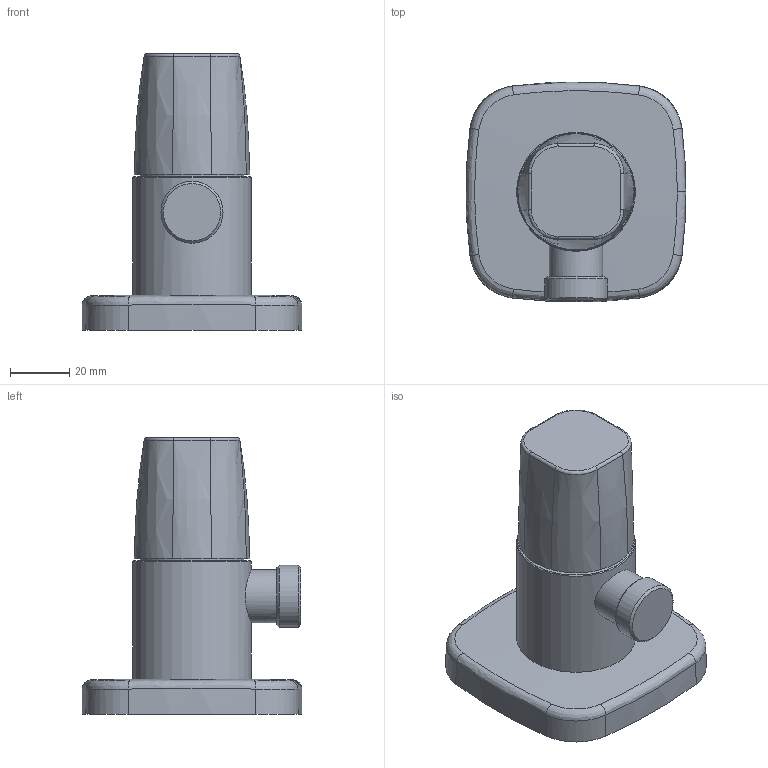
import cadquery as cq
import math

OVERLAP = 1.0

BASE_HALF_WIDTH = 37.31
BASE_CORNER_ALONG = 21.6
BASE_CORNER_OUT = 35.9
BASE_CORNER_RADIUS = 16.6
BASE_HEIGHT = 12.1
BASE_DOME_RISE = 0.5
BASE_EDGE_FILLET = 3.0
BASE_DRAFT = 1.0

BODY_RADIUS = 20.1
BODY_TOP = 52.0
BODY_EDGE_CHAMFER = 0.3

NECK_RADIUS = 17.5

HANDLE_BOTTOM = 52.7
HANDLE_TOP = 93.7
HANDLE_BOTTOM_RADIUS = 19.5
HANDLE_TOP_HALF_WIDTH = 16.1
HANDLE_TOP_FLAT_HALF = 6.1
HANDLE_BOTTOM_FLAT_HALF = 6.5
HANDLE_EDGE_FILLET = 1.0
HANDLE_SECTIONS = 5

OUTLET_HEIGHT = 40.0
OUTLET_PIPE_RADIUS = 9.0
COLLAR_RADIUS = 10.5
COLLAR_START = 28.7
COLLAR_END = 36.75
COLLAR_EDGE_CHAMFER = 0.8


def bowed_square(plane, half_width, along, out, corner_reach):
    """Closed outline of four bowed sides joined by four corner arcs.

    half_width: distance from the axis to the middle of a side
    along, out: coordinates of the points where sides and corners meet
    corner_reach: distance from the axis to the middle of a corner arc
    """
    corner = corner_reach * math.sqrt(0.5)
    outline = plane.moveTo(out, -along)
    for quarter in range(4):
        cos_q = round(math.cos(quarter * math.pi / 2))
        sin_q = round(math.sin(quarter * math.pi / 2))

        def turned(x, y):
            return (x * cos_q - y * sin_q, x * sin_q + y * cos_q)

        if math.isclose(half_width, out):
            outline = outline.lineTo(*turned(out, along))
        else:
            outline = outline.threePointArc(turned(half_width, 0), turned(out, along))
        outline = outline.threePointArc(turned(corner, corner), turned(along, out))
    return outline.close()


def base_section(height):
    """Outline of the base plate at a height, shrunk evenly by the draft of its sides."""
    shrink = 1 - height * math.tan(math.radians(BASE_DRAFT)) / BASE_HALF_WIDTH
    half_chord = (BASE_CORNER_OUT - BASE_CORNER_ALONG) * math.sqrt(0.5)
    chord_reach = (BASE_CORNER_OUT + BASE_CORNER_ALONG) * math.sqrt(0.5)
    corner_rise = BASE_CORNER_RADIUS - math.sqrt(BASE_CORNER_RADIUS**2 - half_chord**2)
    return bowed_square(
        cq.Workplane("XY").workplane(offset=height),
        BASE_HALF_WIDTH * shrink,
        BASE_CORNER_ALONG * shrink,
        BASE_CORNER_OUT * shrink,
        (chord_reach + corner_rise) * shrink,
    ).val()


def make_base():
    plate = cq.Workplane(cq.Solid.makeLoft([base_section(0), base_section(BASE_HEIGHT)], True))
    dome_radius = (BASE_HALF_WIDTH**2 + BASE_DOME_RISE**2) / (2 * BASE_DOME_RISE)
    dome = cq.Workplane("XY").sphere(dome_radius).translate((0, 0, BASE_HEIGHT - dome_radius))
    return plate.intersect(dome).faces(">Z").edges().fillet(BASE_EDGE_FILLET)


def make_body():
    body = cq.Workplane("XY").circle(BODY_RADIUS).extrude(BODY_TOP)
    body = body.faces(">Z").edges().chamfer(BODY_EDGE_CHAMFER)
    neck_start = BODY_TOP - OVERLAP
    neck = cq.Workplane("XY").workplane(offset=neck_start).circle(NECK_RADIUS)
    return body.union(neck.extrude(HANDLE_BOTTOM + OVERLAP - neck_start))


def make_handle():
    top_corner_reach = (
        HANDLE_TOP_FLAT_HALF * math.sqrt(2) + HANDLE_TOP_HALF_WIDTH - HANDLE_TOP_FLAT_HALF
    )
    bottom_out = math.sqrt(HANDLE_BOTTOM_RADIUS**2 - HANDLE_BOTTOM_FLAT_HALF**2)

    def blend(bottom, top, amount):
        return bottom + (top - bottom) * amount

    sections = []
    for index in range(HANDLE_SECTIONS):
        rise = index / (HANDLE_SECTIONS - 1)
        taper = rise**2
        plane = cq.Workplane("XY").workplane(offset=blend(HANDLE_BOTTOM, HANDLE_TOP, rise))
        section = bowed_square(
            plane,
            blend(HANDLE_BOTTOM_RADIUS, HANDLE_TOP_HALF_WIDTH, taper),
            blend(HANDLE_BOTTOM_FLAT_HALF, HANDLE_TOP_FLAT_HALF, taper),
            blend(bottom_out, HANDLE_TOP_HALF_WIDTH, taper),
            blend(HANDLE_BOTTOM_RADIUS, top_corner_reach, taper),
        )
        sections.append(section.val())
    handle = cq.Workplane(cq.Solid.makeLoft(sections))
    return handle.faces(">Z").edges().fillet(HANDLE_EDGE_FILLET)


def make_outlet():
    axis = cq.Workplane("XZ").center(0, OUTLET_HEIGHT)
    pipe = axis.circle(OUTLET_PIPE_RADIUS).extrude(COLLAR_START + OVERLAP)
    collar = axis.workplane(offset=COLLAR_START).circle(COLLAR_RADIUS)
    collar = collar.extrude(COLLAR_END - COLLAR_START)
    return pipe.union(collar.edges().chamfer(COLLAR_EDGE_CHAMFER))


result = make_base().union(make_body()).union(make_handle()).union(make_outlet())